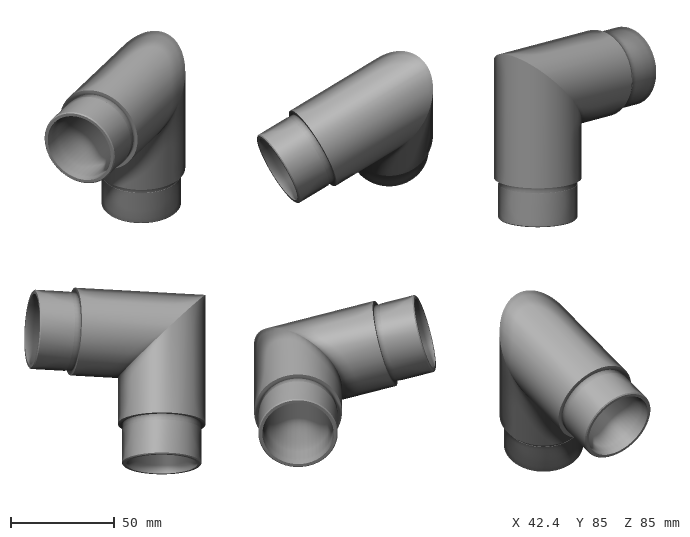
import cadquery as cq

overall_length = 85.0
tube_diameter = 42.4
bore_diameter = 34.4
spigot_diameter = 38.3
neck_diameter = 37.9
spigot_length = 20.0
neck_length = 3.0
end_chamfer = 0.5

tube_radius = tube_diameter / 2
leg_end = overall_length - tube_radius
shoulder = leg_end - spigot_length
neck_end = shoulder + neck_length


def upright_cylinder(diameter, bottom, top):
    """Cylinder about the Z axis between two heights."""
    return cq.Workplane("XY").workplane(offset=bottom).circle(diameter / 2).extrude(top - bottom)


def mitre_wedge():
    """Half space below the 45 degree mitre plane z = y, limited to the size of one leg."""
    return (
        cq.Workplane("YZ")
        .polyline([
            (-tube_diameter, -tube_diameter),
            (tube_diameter, tube_diameter),
            (tube_diameter, -overall_length),
            (-tube_diameter, -overall_length),
        ])
        .close()
        .extrude(tube_diameter, both=True)
    )


def lower_leg():
    """Hollow leg pointing down -Z, cut off at the mitre plane."""
    tube = upright_cylinder(tube_diameter, -shoulder, tube_radius)
    neck = upright_cylinder(neck_diameter, -neck_end, -shoulder)
    spigot = upright_cylinder(spigot_diameter, -leg_end, -neck_end)
    spigot = spigot.faces("<Z").edges().chamfer(end_chamfer)
    bore = upright_cylinder(bore_diameter, -leg_end, tube_radius)
    return tube.union(neck).union(spigot).cut(bore).intersect(mitre_wedge())


def front_leg(leg):
    """Matching leg along -Y: mirror in XZ, then a quarter turn about X, so y and z swap."""
    return leg.mirror("XZ").rotate((0, 0, 0), (1, 0, 0), -90)


vertical_leg = lower_leg()
horizontal_leg = front_leg(vertical_leg)
result = vertical_leg.union(horizontal_leg)